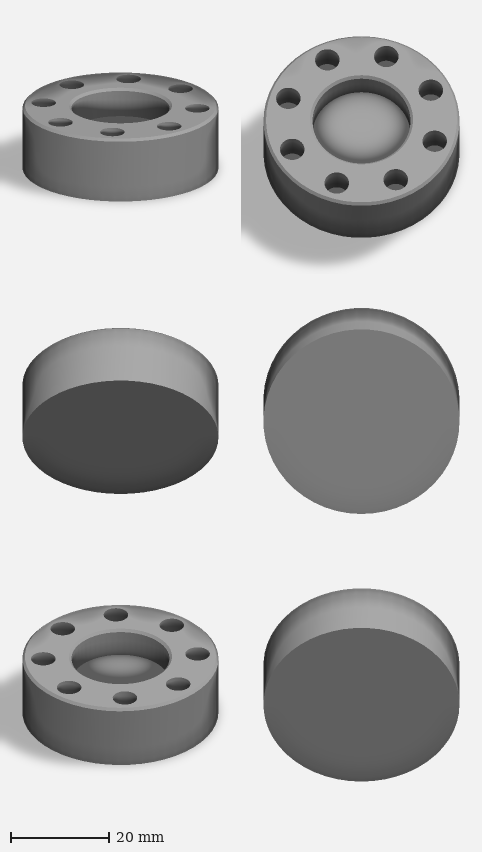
import cadquery as cq

disc_diameter = 39.98
disc_height = 13.5
edge_chamfer = 0.5

pocket_diameter = disc_diameter / 2
pocket_depth = 6.0

hole_count = 8
hole_diameter = disc_diameter / 8
hole_circle_diameter = 31.5
hole_depth = pocket_depth


def make_disc():
    """Plain disc standing on Z = 0."""
    return cq.Workplane("XY").circle(disc_diameter / 2).extrude(disc_height)


def cut_pocket(body):
    """Round flat-bottomed pocket in the middle of the top face."""
    return body.faces(">Z").workplane().circle(pocket_diameter / 2).cutBlind(-pocket_depth)


def chamfer_top_edges(body):
    """Equal chamfers on the outer rim and the pocket mouth."""
    return body.faces(">Z").edges().chamfer(edge_chamfer)


def cut_hole_ring(body):
    """Equally spaced flat-bottomed holes around the pocket."""
    return (
        body.faces(">Z")
        .workplane(origin=(0, 0, disc_height))
        .polarArray(hole_circle_diameter / 2, 0, 360, hole_count)
        .hole(hole_diameter, hole_depth)
    )


disc = make_disc()
pocketed_disc = cut_pocket(disc)
chamfered_disc = chamfer_top_edges(pocketed_disc)
result = cut_hole_ring(chamfered_disc)